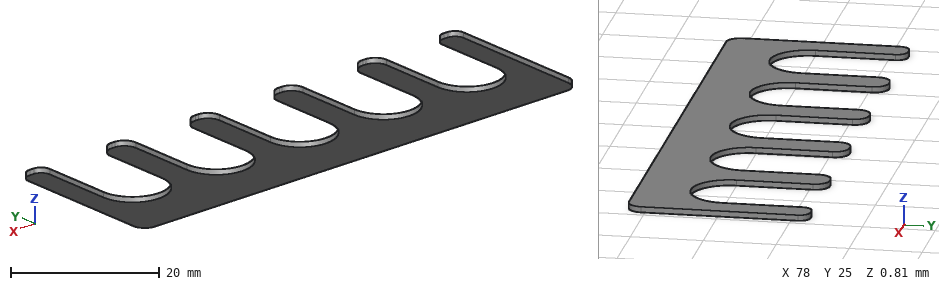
import cadquery as cq

length = 78.0
depth = 25.0
thickness = 0.81
corner_radius = 2.0

slot_count = 5
slot_pitch = 15.0
slot_width = 10.5
slot_radius = slot_width / 2
spine_width = 7.25

outer_finger_width = (length - (slot_count - 1) * slot_pitch - slot_width) / 2
inner_tip_radius = 2.0
outer_tip_radius = 1.5

spine_edge_y = -depth / 2
tip_y = depth / 2
slot_centers = [(i - (slot_count - 1) / 2) * slot_pitch for i in range(slot_count)]


def make_plate():
    """Flat rectangle, centred on the origin, with rounded corners on the spine edge."""
    plate = cq.Workplane("XY").box(length, depth, thickness)
    return plate.edges("|Z and <Y").fillet(corner_radius)


def make_slot(center_x):
    """Cutter for one slot: a round bottom running straight out past the finger tips."""
    slot_bottom_y = spine_edge_y + spine_width
    arc_center_y = slot_bottom_y + slot_radius
    left_x = center_x - slot_radius
    right_x = center_x + slot_radius
    return (
        cq.Workplane("XY", origin=(0, 0, -thickness / 2))
        .moveTo(left_x, tip_y)
        .lineTo(left_x, arc_center_y)
        .threePointArc((center_x, slot_bottom_y), (right_x, arc_center_y))
        .lineTo(right_x, tip_y)
        .close()
        .extrude(thickness)
    )


def round_tip(body, center_x, radius):
    """Round both corners of the finger centred on center_x, leaving a narrow flat at its tip."""
    tip_zone = cq.selectors.BoxSelector(
        (center_x - slot_radius, tip_y - radius, -thickness),
        (center_x + slot_radius, tip_y + radius, thickness),
    )
    return body.edges("|Z").edges(tip_zone).fillet(radius)


result = make_plate()
for slot_x in slot_centers:
    result = result.cut(make_slot(slot_x))

for slot_x in slot_centers[:-1]:
    result = round_tip(result, slot_x + slot_pitch / 2, inner_tip_radius)

for side in (-1, 1):
    outer_finger_x = side * (length - outer_finger_width) / 2
    result = round_tip(result, outer_finger_x, outer_tip_radius)